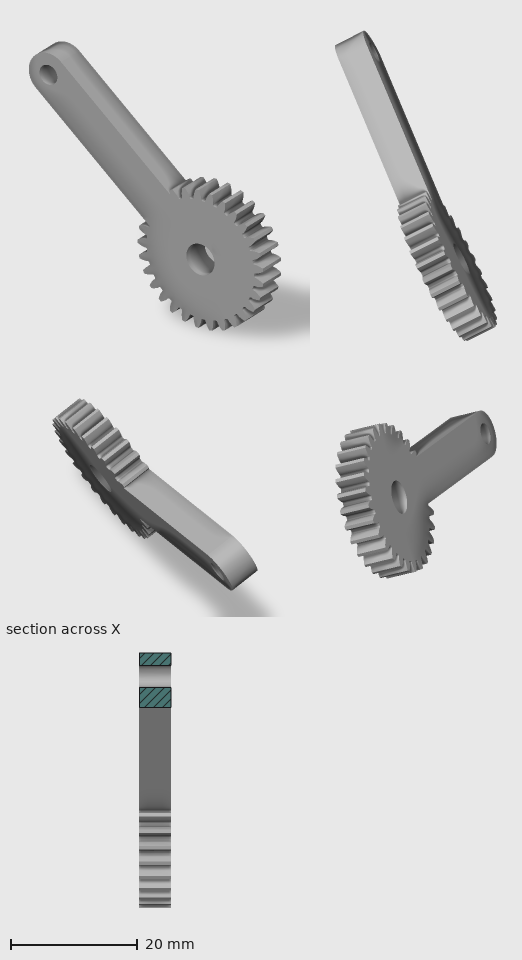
import cadquery as cq
import math

THICKNESS = 5.05

TOOTH_COUNT = 29
TIP_RADIUS = 12.05
PRESSURE_ANGLE = math.radians(20)
DEDENDUM_FACTOR = 1.25
ROOT_FILLET = 0.25
PIVOT_HOLE_DIAMETER = 5.4
FLANK_POINTS = 6

ARM_LENGTH = 38.0
ARM_ANGLE = 140.0
EYE_RADIUS = 3.75
EYE_HOLE_DIAMETER = 3.4

MODULE = 2 * TIP_RADIUS / (TOOTH_COUNT + 2)
PITCH_RADIUS = MODULE * TOOTH_COUNT / 2
ROOT_RADIUS = PITCH_RADIUS - DEDENDUM_FACTOR * MODULE
BASE_RADIUS = PITCH_RADIUS * math.cos(PRESSURE_ANGLE)
TOOTH_PITCH = 2 * math.pi / TOOTH_COUNT
FIRST_TOOTH_ANGLE = math.pi


def polar(radius, angle):
    return (radius * math.cos(angle), radius * math.sin(angle))


def involute(pressure_angle):
    return math.tan(pressure_angle) - pressure_angle


def half_tooth_angle(radius):
    """Angle from the tooth centreline to its flank at the given radius."""
    half_at_pitch = TOOTH_PITCH / 4
    local_pressure_angle = math.acos(min(1.0, BASE_RADIUS / radius))
    return half_at_pitch + involute(PRESSURE_ANGLE) - involute(local_pressure_angle)


def flank_points(tooth_angle, side):
    """Points along one involute flank, from the base circle to the tip."""
    radial_step = (TIP_RADIUS - BASE_RADIUS) / (FLANK_POINTS - 1)
    radii = [BASE_RADIUS + i * radial_step for i in range(FLANK_POINTS)]
    return [polar(r, tooth_angle + side * half_tooth_angle(r)) for r in radii]


def make_gear():
    half_at_base = half_tooth_angle(BASE_RADIUS)
    outline = cq.Workplane("XZ").moveTo(*polar(ROOT_RADIUS, FIRST_TOOTH_ANGLE - half_at_base))
    for i in range(TOOTH_COUNT):
        angle = FIRST_TOOTH_ANGLE + i * TOOTH_PITCH
        rising_flank = flank_points(angle, -1)
        falling_flank = flank_points(angle, 1)[::-1]
        outline = (
            outline.lineTo(*rising_flank[0])
            .spline(rising_flank[1:], includeCurrent=True)
            .threePointArc(polar(TIP_RADIUS, angle), falling_flank[0])
            .spline(falling_flank[1:], includeCurrent=True)
            .lineTo(*polar(ROOT_RADIUS, angle + half_at_base))
            .threePointArc(
                polar(ROOT_RADIUS, angle + TOOTH_PITCH / 2),
                polar(ROOT_RADIUS, angle + TOOTH_PITCH - half_at_base),
            )
        )
    gear = outline.close().extrude(THICKNESS)

    root_limit = (ROOT_RADIUS + BASE_RADIUS) / 2
    root_corners = gear.edges("|Y").filter(
        lambda edge: math.hypot(edge.Center().x, edge.Center().z) < root_limit
    )
    return root_corners.fillet(ROOT_FILLET)


def make_arm(eye_center):
    middle = (eye_center[0] / 2, eye_center[1] / 2)
    bar = (
        cq.Workplane("XZ")
        .center(*middle)
        .transformed(rotate=(0, 0, ARM_ANGLE))
        .rect(ARM_LENGTH, 2 * EYE_RADIUS)
        .extrude(THICKNESS)
    )
    return bar.union(make_cylinder(eye_center, EYE_RADIUS))


def make_cylinder(center, radius):
    """Full-thickness cylinder along Y at an (x, z) position."""
    return cq.Workplane("XZ").center(*center).circle(radius).extrude(THICKNESS)


pivot_center = (0, 0)
eye_center = polar(ARM_LENGTH, math.radians(ARM_ANGLE))

result = (
    make_gear()
    .union(make_arm(eye_center))
    .cut(make_cylinder(pivot_center, PIVOT_HOLE_DIAMETER / 2))
    .cut(make_cylinder(eye_center, EYE_HOLE_DIAMETER / 2))
)